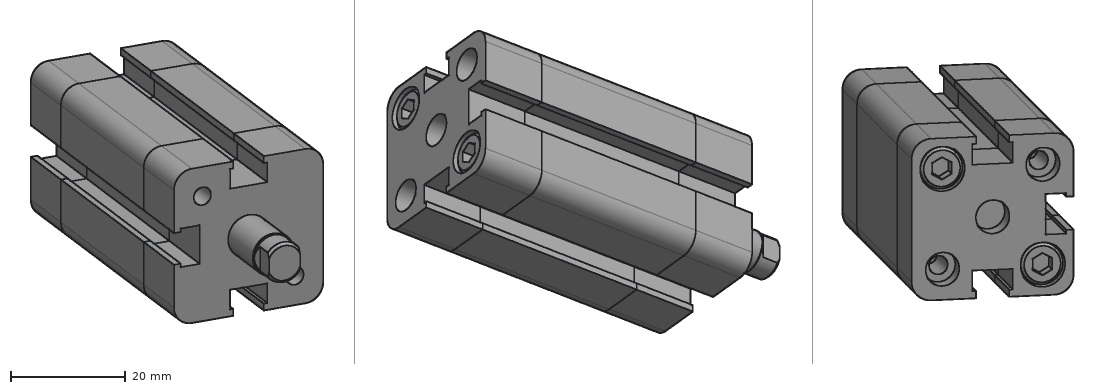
import cadquery as cq
import math


total_length = 72.5
body_length = 58.0
cap_length = 12.25
body_width = 29.0
corner_radius = 3.5

slot_mouth_width = 5.95
slot_inner_width = 7.25
slot_lip_height = 1.3
slot_depth = 5.0

fixing_offset = 9.0
through_hole_diameter = 3.3
counterbore_diameter = 6.0
counterbore_depth = 3.5
locating_hole_diameter = 6.0
locating_hole_depth = 4.0

screw_bore_diameter = 8.0
screw_bore_depth = 4.35
screw_head_diameter = 7.55
screw_head_chamfer = 0.5
screw_recess = 0.4
socket_sides = 6
socket_width = 3.5
socket_depth = 2.7

rod_diameter = 8.0
rod_shoulder_x = 67.9
rod_tip_diameter = 7.55
rod_tip_chamfer = 0.5
rod_flats_width = 6.0

half_width = body_width / 2
barrel_length = body_length - 2 * cap_length
front_cap_x = cap_length + barrel_length
screw_head_height = screw_bore_depth - screw_recess
rod_radius = rod_diameter / 2
rod_tip_radius = rod_tip_diameter / 2
socket_corner_diameter = socket_width / math.cos(math.pi / socket_sides)

hole_places = [(-fixing_offset, fixing_offset), (fixing_offset, -fixing_offset)]
screw_places = [(fixing_offset, fixing_offset), (-fixing_offset, -fixing_offset)]

slot_turns = [0, 90, 180]


def section_plane(x):
    """Work plane across the cylinder at x: local x is Y, local y is Z, and it faces +X."""
    return cq.Workplane("YZ", origin=(x, 0, 0))


def fixing_slot(x, length):
    """Undercut slot in the top face, wider below its lips."""
    groove_height = slot_depth - slot_lip_height
    mouth = section_plane(x).center(0, half_width - slot_depth / 2)
    groove = section_plane(x).center(0, half_width - slot_depth + groove_height / 2)
    return (
        mouth.rect(slot_mouth_width, slot_depth)
        .extrude(length)
        .union(groove.rect(slot_inner_width, groove_height).extrude(length))
    )


def profile_section(x, length):
    """Piece of the square body with rounded edges, three slots and two through holes."""
    section = section_plane(x).rect(body_width, body_width).extrude(length)
    section = section.edges("|X").fillet(corner_radius)
    slot = fixing_slot(x, length)
    for turn in slot_turns:
        section = section.cut(slot.rotate((0, 0, 0), (1, 0, 0), turn))
    holes = section_plane(x).pushPoints(hole_places).circle(through_hole_diameter / 2).extrude(length)
    return section.cut(holes)


def screw_heads():
    """Socket screw heads rising from the floors of the screw bores."""
    heads = (
        section_plane(screw_recess)
        .pushPoints(screw_places)
        .circle(screw_head_diameter / 2)
        .extrude(screw_head_height)
        .faces("<X")
        .edges()
        .chamfer(screw_head_chamfer)
    )
    socket = (
        section_plane(screw_recess)
        .polygon(socket_sides, socket_corner_diameter)
        .extrude(socket_depth)
        .rotate((0, 0, 0), (1, 0, 0), 90)
    )
    for y, z in screw_places:
        heads = heads.cut(socket.translate((0, y, z)))
    return heads


def make_rear_cap():
    """Rear section with counterbored holes, a locating hole and two screw heads."""
    cap = profile_section(0, cap_length)
    counterbores = (
        section_plane(0).pushPoints(hole_places).circle(counterbore_diameter / 2).extrude(counterbore_depth)
    )
    locating_hole = section_plane(0).circle(locating_hole_diameter / 2).extrude(locating_hole_depth)
    screw_bores = (
        section_plane(0).pushPoints(screw_places).circle(screw_bore_diameter / 2).extrude(screw_bore_depth)
    )
    return cap.cut(counterbores).cut(locating_hole).cut(screw_bores).union(screw_heads())


def make_barrel():
    """Middle section between the caps."""
    return profile_section(cap_length, barrel_length)


def make_front_cap():
    """Front section whose end face carries the piston rod."""
    return profile_section(front_cap_x, cap_length)


def make_piston_rod():
    """Stepped round rod whose tip carries two wrench flats with sloped run-outs."""
    step = rod_radius - rod_tip_radius
    rod = (
        cq.Workplane("XZ")
        .moveTo(body_length, 0)
        .lineTo(body_length, rod_radius)
        .lineTo(rod_shoulder_x, rod_radius)
        .lineTo(rod_shoulder_x + step, rod_tip_radius)
        .lineTo(total_length - rod_tip_chamfer, rod_tip_radius)
        .lineTo(total_length, rod_tip_radius - rod_tip_chamfer)
        .lineTo(total_length, 0)
        .close()
        .revolve(360, (0, 0, 0), (1, 0, 0))
    )
    flat_y = rod_flats_width / 2
    flat_start_x = rod_shoulder_x + rod_radius - flat_y
    flat = (
        cq.Workplane("XY")
        .moveTo(rod_shoulder_x, rod_radius)
        .lineTo(flat_start_x, flat_y)
        .lineTo(total_length, flat_y)
        .lineTo(total_length, rod_radius)
        .close()
        .extrude(rod_radius, both=True)
    )
    return rod.cut(flat).cut(flat.mirror("XZ"))


rear_cap = make_rear_cap()
barrel = make_barrel()
front_cap = make_front_cap()
piston_rod = make_piston_rod()

result = cq.Compound.makeCompound([rear_cap.val(), barrel.val(), front_cap.val(), piston_rod.val()])